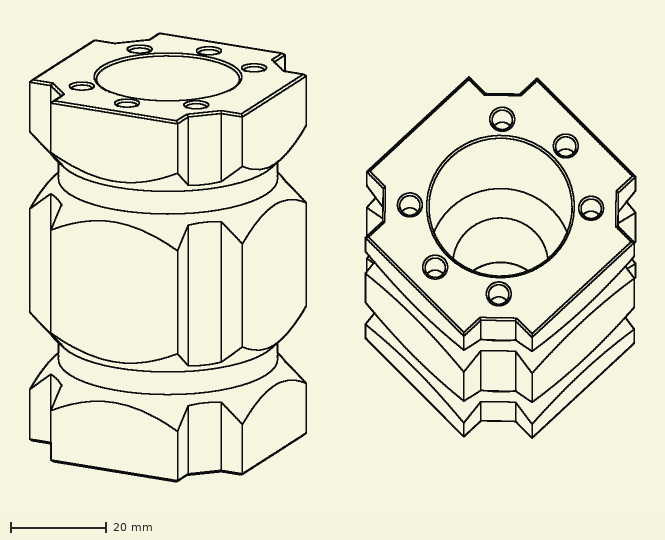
import cadquery as cq
import math

length = 80.0
width = 50.0
half_width = width / 2

arm_half_width = 14.9
notch_bevel_end = half_width - width / 10
end_chamfer = 0.5

groove_diameter = 46.0
groove_width = width / 10
groove_centres = (length / 4, length * 3 / 4)

bore_diameter = 30.0
bore_depth = length / 2
bore_chamfer = 0.5
through_diameter = 20.0
cone_height = (bore_diameter - through_diameter) / 2

screw_diameter = 4.2
screw_circle_diameter = 38.0
screw_depth = 10.0
screw_chamfer = 0.5
screw_circle_radius = screw_circle_diameter / 2
screw_angles = (45, 90, 135, 225, 270, 315)


def make_body():
    """Cross-shaped prism with chamfered end faces."""
    corner_points = [
        (half_width, arm_half_width),
        (notch_bevel_end, arm_half_width),
        (arm_half_width, notch_bevel_end),
        (arm_half_width, half_width),
    ]
    outline = []
    for quarter in range(4):
        angle = math.radians(90 * quarter)
        for x, y in corner_points:
            outline.append((
                x * math.cos(angle) - y * math.sin(angle),
                x * math.sin(angle) + y * math.cos(angle),
            ))
    prism = cq.Workplane("XY").polyline(outline).close().extrude(length)
    return prism.faces("<Z or >Z").chamfer(end_chamfer)


def make_groove(centre_z):
    """Ring that leaves a round neck and flares outwards at 45 degrees."""
    neck_radius = groove_diameter / 2
    outer_radius = width
    flare = outer_radius - neck_radius
    half_groove = groove_width / 2
    return (
        cq.Workplane("XZ")
        .moveTo(neck_radius, centre_z - half_groove)
        .lineTo(outer_radius, centre_z - half_groove - flare)
        .lineTo(outer_radius, centre_z + half_groove + flare)
        .lineTo(neck_radius, centre_z + half_groove)
        .close()
        .revolve(360, (0, 0, 0), (0, 1, 0))
    )


def make_bore():
    """Stepped bore with a conical shoulder and a chamfered mouth."""
    bore_radius = bore_diameter / 2
    through_radius = through_diameter / 2
    shoulder_z = length - bore_depth
    return (
        cq.Workplane("XZ")
        .moveTo(0, 0)
        .lineTo(through_radius, 0)
        .lineTo(through_radius, shoulder_z - cone_height)
        .lineTo(bore_radius, shoulder_z)
        .lineTo(bore_radius, length - bore_chamfer)
        .lineTo(bore_radius + bore_chamfer, length)
        .lineTo(0, length)
        .close()
        .revolve(360, (0, 0, 0), (0, 1, 0))
    )


def make_screw_hole(angle):
    """Blind hole with a flat bottom and a chamfered mouth."""
    x = screw_circle_radius * math.cos(math.radians(angle))
    y = screw_circle_radius * math.sin(math.radians(angle))
    radius = screw_diameter / 2
    hole = (
        cq.Workplane("XZ")
        .lineTo(radius + screw_chamfer, 0)
        .lineTo(radius, -screw_chamfer)
        .lineTo(radius, -screw_depth)
        .lineTo(0, -screw_depth)
        .close()
        .revolve(360, (0, 0, 0), (0, 1, 0))
    )
    return hole.translate((x, y, length))


result = make_body()
for groove_z in groove_centres:
    result = result.cut(make_groove(groove_z))
result = result.cut(make_bore())
for screw_angle in screw_angles:
    result = result.cut(make_screw_hole(screw_angle))